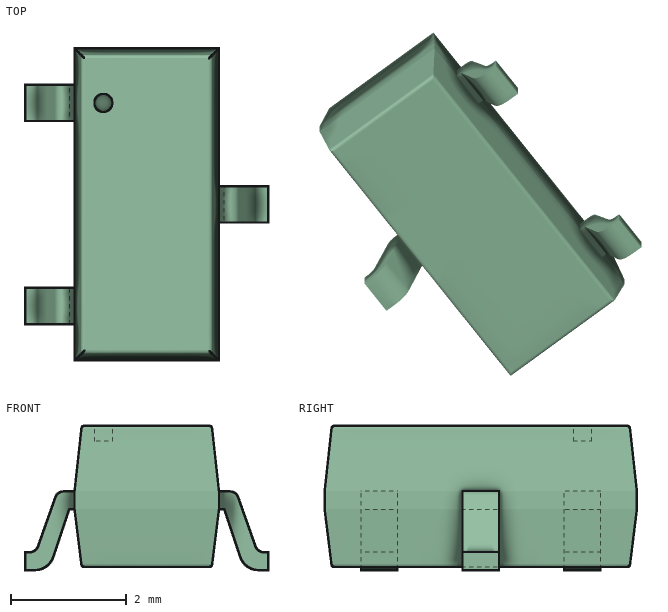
import cadquery as cq

body_length = 5.4
body_width = 2.5
body_top = 2.5
standoff = 0.055
end_inset = 0.125
edge_radius = 0.06

mark_diameter = 0.315
mark_depth = 0.27
mark_x = -0.75

lead_span = 4.2
lead_width = 0.63
lead_thickness = 0.315
lead_top = 1.365
shoulder_outer = 1.545
shoulder_inner = 1.34
heel_outer = 1.915
heel_inner = 1.69
shoulder_radius = 0.155
foot_top_radius = 0.155
heel_radius = 0.34
lead_y = 1.755

band_bottom = lead_top - lead_thickness


def make_taper(start_z, end_z):
    """Frustum from the full band outline to the inset end outline."""
    return (
        cq.Workplane("XY", origin=(0, 0, start_z))
        .rect(body_width, body_length)
        .workplane(offset=end_z - start_z)
        .rect(body_width - 2 * end_inset, body_length - 2 * end_inset)
        .loft(combine=True, ruled=True)
    )


def make_body():
    """Moulded body with a straight band, tapered halves and a pin 1 mark."""
    band = (
        cq.Workplane("XY", origin=(0, 0, band_bottom))
        .rect(body_width, body_length)
        .extrude(lead_thickness)
    )
    body = band.union(make_taper(lead_top, body_top)).union(make_taper(band_bottom, standoff))
    body = body.faces(">Z or <Z").edges().fillet(edge_radius)
    mark = (
        cq.Workplane("XY", origin=(mark_x, lead_y, body_top - mark_depth))
        .circle(mark_diameter / 2)
        .extrude(mark_depth)
    )
    return body.cut(mark)


def round_bend(lead, x, z, radius):
    """Round the bend whose sharp edge runs along Y through (x, z)."""
    return lead.edges(cq.selectors.NearestToPointSelector((x, 0, z))).fillet(radius)


def make_lead():
    """Gull-wing lead on the +X side, centred on Y = 0."""
    body_side = body_width / 2
    tip = lead_span / 2
    profile = [
        (body_side, lead_top),
        (shoulder_outer, lead_top),
        (heel_outer, lead_thickness),
        (tip, lead_thickness),
        (tip, 0),
        (heel_inner, 0),
        (shoulder_inner, band_bottom),
        (body_side, band_bottom),
    ]
    lead = (
        cq.Workplane("XZ")
        .polyline(profile)
        .close()
        .extrude(lead_width / 2, both=True)
    )
    lead = round_bend(lead, shoulder_outer, lead_top, shoulder_radius)
    lead = round_bend(lead, heel_outer, lead_thickness, foot_top_radius)
    return round_bend(lead, heel_inner, 0, heel_radius)


body = make_body()

leads = [make_lead()]
for y in (-lead_y, lead_y):
    leads.append(make_lead().mirror("YZ").translate((0, y, 0)))

result = cq.Compound.makeCompound([body.solids().val(), *[lead.solids().val() for lead in leads]])